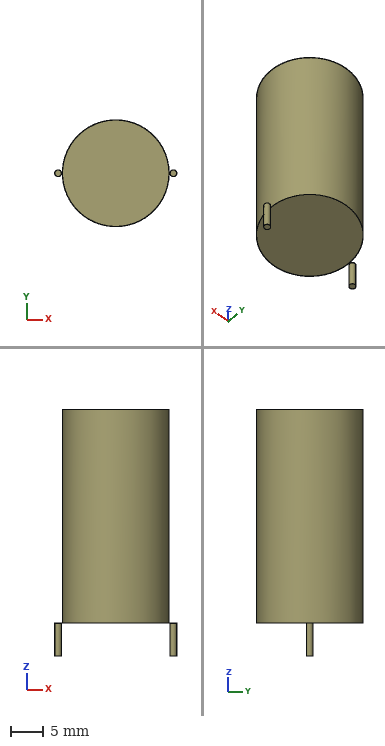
import cadquery as cq

total_height = 38.1
total_width = 18.85
body_diameter = 16.5
pin_diameter = 1.05
pin_length = 5.1

body_height = total_height - pin_length
pin_offset = (total_width - pin_diameter) / 2


def make_body():
    """Upright cylindrical body standing on the plane z = 0."""
    return cq.Workplane("XY").circle(body_diameter / 2).extrude(body_height)


def make_pin(x):
    """Straight lead hanging down from z = 0, beside the body."""
    return cq.Workplane("XY").center(x, 0).circle(pin_diameter / 2).extrude(-pin_length)


body = make_body()
pins = [make_pin(side * pin_offset) for side in (-1, 1)]

result = cq.Compound.makeCompound([body.val(), *[pin.val() for pin in pins]])